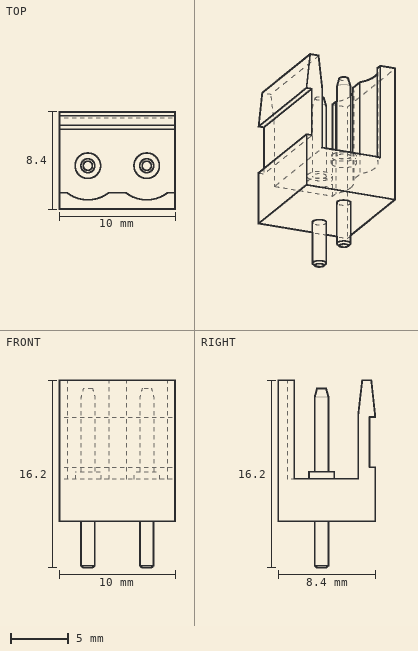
import cadquery as cq

width = 10.0
depth = 8.4
height = 12.2
floor_height = 3.7
front_wall = 1.4
rear_wall = 1.5

notch_depth = 0.5
notch_bottom = 4.7
notch_top = 9.0
latch_outer_inset = 0.35
latch_tip = 0.8
inner_taper_start = 9.2

pin_pitch = 5.08
pin_y = 3.75
pin_radius = 0.6
pin_top = 11.5
pin_bottom = -4.0
tip_radius = 0.4
tip_length = 0.75
tail_radius = 0.4
tail_length = 0.2
collar_radius = 1.1
collar_height = 0.6

scallop_radius = 2.95

pin_positions = [(-pin_pitch / 2, pin_y), (pin_pitch / 2, pin_y)]


def make_housing():
    """Extrude the channel profile, given as (Y, Z) points, along X."""
    rear_inner = depth - rear_wall
    latch_tip_outer = depth - latch_outer_inset
    profile = [
        (0, 0),
        (depth, 0),
        (depth, notch_bottom),
        (depth - notch_depth, notch_bottom),
        (depth - notch_depth, notch_top),
        (depth, notch_top),
        (latch_tip_outer, height),
        (latch_tip_outer - latch_tip, height),
        (rear_inner, inner_taper_start),
        (rear_inner, floor_height),
        (front_wall, floor_height),
        (front_wall, height),
        (0, height),
    ]
    return cq.Workplane("YZ").polyline(profile).close().extrude(width / 2, both=True)


def make_scallop(x, y):
    """Cylinder that hollows the front wall, down to the channel floor, and clears the rear wall."""
    scallop = cq.Workplane("XY", origin=(x, y, floor_height))
    return scallop.circle(scallop_radius).extrude(height - floor_height)


def make_pin(x, y):
    """Round pin with a collar on the channel floor, revolved from (radius, Z) points."""
    collar_top = floor_height + collar_height
    profile = [
        (0, pin_bottom),
        (tail_radius, pin_bottom),
        (pin_radius, pin_bottom + tail_length),
        (pin_radius, floor_height),
        (collar_radius, floor_height),
        (collar_radius, collar_top),
        (pin_radius, collar_top),
        (pin_radius, pin_top - tip_length),
        (tip_radius, pin_top),
        (0, pin_top),
    ]
    pin = cq.Workplane("XZ").polyline(profile).close().revolve(360, (0, 0, 0), (0, 1, 0))
    return pin.translate((x, y, 0))


result = make_housing()
for pin_x, pin_center_y in pin_positions:
    result = result.cut(make_scallop(pin_x, pin_center_y))
for pin_x, pin_center_y in pin_positions:
    result = result.union(make_pin(pin_x, pin_center_y))